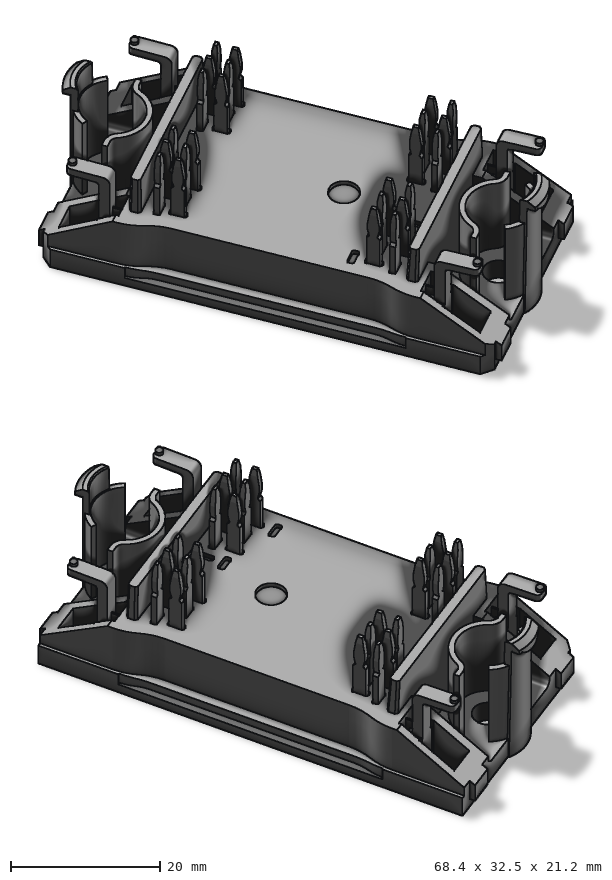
import cadquery as cq
import math


plate_length, plate_width, plate_height = 38.45, 27.1, 0.2
base_length, base_width = 64.15, 32.5
flange_top = 3.5
corner_chamfer = 1.5
half_base_length = base_length / 2
half_base_width = base_width / 2

body_top = 11.1
body_end_half_width = 15.7
body_mid_half_width = 14.35
body_bend_outer, body_bend_inner = 21.15, 13.95
slope_start_x = 21.9
slope_per_unit = 0.6

groove_bottom = 1.65
groove_rise = 0.6
groove_half_width = 15.7
groove_end_half_width = 16.1
groove_bend_outer, groove_bend_inner = 20.0, 15.4

screw_x = -27.35
screw_diameter = 4.3
seat_half_width = 8.8
seat_fillet = 1.1
body_end_x = 20.5
slot_outer_x = 21.55

window_y = 12.4
window_outer_x, window_inner_x = 29.95, 21.5
window_width = 4.3
window_pad_x, window_pad_thickness = 24.55, 0.15
tab_width, tab_depth = 3.6, 0.8
tab_bottom = 1.65

wall_top = 16.7
wall_bottom_thickness, wall_top_thickness = 1.65, 1.45
wall_bottom_length, wall_top_length = 26.1, 25.2
wall_corner = 0.35

clip_top = 20.8
clip_inner_radius, clip_outer_radius, lip_radius = 4.9, 5.8, 6.85
lip_bottom, lip_corner = 18.6, 20.0
lip_side_bottom, lip_arc_half_width = 19.35, 2.2
clip_edge_chamfer = 0.2
clip_top_half_width, clip_bottom_half_width = 2.8, 3.15
wing_inner_radius, wing_outer_radius = 4.7, 5.55
wing_angle = 61

guard_top = 15.6
guard_radius, guard_thickness = 4.85, 0.8
guard_angle = 65
guard_tail_radius, guard_tail_end_y = 1.6, 6.8

arm_top = 16.5
arm_tip_x = -29.35
arm_stem_outer_x, arm_stem_inner_x = -24.6, -23.05
arm_y = 12.3
arm_thickness, arm_width = 1.15, 2.4
arm_outer_bend, arm_inner_bend = 1.1, 0.55
arm_tip_fillet = 0.7
arm_tip_rise = 0.15
foot_width, foot_top, foot_inner_x = 2.75, 8.9, -22.15
bridge_top = 8.2
rib_thickness, rib_top = 0.3, 10.25
stud_x, stud_diameter = -28.8, 1.1
stud_cylinder_top, stud_top, stud_tip_diameter = 17.1, 17.7, 0.3

pin_top = 21.2
pin_thickness, pin_tip_thickness = 0.8, 0.5
pin_shoulder = 20.1
pin_shank_width, pin_shank_top = 1.9, 15.8
pin_neck_width, pin_neck_z = 1.15, 16.2
pin_bulge_width, pin_bulge_bottom, pin_bulge_top = 1.65, 17.3, 18.5
pin_tip_width = 0.75
slot_length, slot_width, slot_corner = 2.5, 1.0, 0.35
recess_depth = 0.7
recess_x, recess_diameter = 5.4, 4.3

left_outer, left_inner = -16.8, -14.1
right_inner, right_outer = 13.75, 16.7
pins_along_x = [
    (left_inner, 11.3), (left_outer, 8.55), (left_inner, 5.8),
    (left_inner, -5.8), (left_outer, -8.55), (left_inner, -11.3),
    (right_inner, 11.3), (right_outer, 8.35), (right_inner, 5.4),
    (right_inner, -5.4), (right_outer, -8.35), (right_inner, -11.3),
]
pins_along_y = [
    (left_outer, 11.3), (left_inner, 8.55), (left_outer, 5.8),
    (left_outer, -5.8), (left_inner, -8.55), (left_outer, -11.3),
    (right_outer, 11.3), (right_inner, 8.35), (right_outer, 5.4),
    (right_outer, -5.4), (right_inner, -8.35), (right_outer, -11.3),
]
empty_slots_along_x = [(right_outer, -2.45)]
empty_slots_along_y = [(right_inner, -2.45), (10.75, -11.3)]


def block(x_range, y_range, z_range):
    """Box given by its limits along each axis."""
    size = [high - low for low, high in (x_range, y_range, z_range)]
    corner = (x_range[0], y_range[0], z_range[0])
    return cq.Workplane("XY").box(*size, centered=False).translate(corner)


def slope_height(x):
    """Height of the sloped end faces at a distance x from the middle."""
    return body_top - slope_per_unit * (x - slope_start_x)


def polar(radius, degrees, center=(screw_x, 0)):
    """Point on a circle, by default around the screw hole."""
    angle = math.radians(degrees)
    return (center[0] + radius * math.cos(angle), center[1] + radius * math.sin(angle))


def side_recess(end_y, mid_y, outer_x, inner_x, bottom, top):
    """Cutter that draws in the +Y side from end_y to mid_y with S-bends at both ends."""
    bend_x = (outer_x + inner_x) / 2
    bend_y = (end_y + mid_y) / 2
    outside_y = base_width
    return (
        cq.Workplane("XY", origin=(0, 0, bottom))
        .moveTo(-outer_x, outside_y)
        .lineTo(-outer_x, end_y)
        .threePointArc(*bend_arc((-outer_x, end_y), (-bend_x, bend_y)))
        .tangentArcPoint((-inner_x, mid_y), relative=False)
        .lineTo(inner_x, mid_y)
        .tangentArcPoint((bend_x, bend_y), relative=False)
        .tangentArcPoint((outer_x, end_y), relative=False)
        .lineTo(outer_x, outside_y)
        .close()
        .extrude(top - bottom)
    )


def bend_arc(start, end):
    """Middle and end point of an arc that leaves start parallel to X and bends to -Y."""
    run = end[0] - start[0]
    drop = start[1] - end[1]
    radius = (run**2 + drop**2) / (2 * drop)
    half_angle = math.asin(run / radius) / 2
    middle = (start[0] + radius * math.sin(half_angle), start[1] - radius * (1 - math.cos(half_angle)))
    return middle, end


def both_sides(shape):
    """Shape joined with its mirror image across the XZ plane."""
    return shape.union(shape.mirror("XZ"))


def base_outline(bottom, top, width):
    """Plain block of the base length with the two -Y corners of the base cut off."""
    chamfer = corner_chamfer - (base_width - width) / 2
    return (
        cq.Workplane("XY", origin=(0, 0, bottom))
        .rect(base_length, width)
        .extrude(top - bottom)
        .edges("|Z and <Y")
        .chamfer(chamfer)
    )


def make_flange():
    flange = base_outline(plate_height, flange_top, base_width)
    groove = side_recess(
        groove_end_half_width, groove_half_width, groove_bend_outer, groove_bend_inner,
        groove_bottom, flange_top,
    )
    sloped_floor = (
        cq.Workplane("YZ", origin=(-groove_bend_outer, 0, 0))
        .moveTo(groove_half_width, groove_bottom)
        .lineTo(half_base_width, groove_bottom)
        .lineTo(groove_half_width, groove_bottom + groove_rise)
        .close()
        .extrude(2 * groove_bend_outer)
    )
    plate = block(
        (-plate_length / 2, plate_length / 2), (-plate_width / 2, plate_width / 2), (0, plate_height)
    )
    return flange.cut(both_sides(groove)).union(both_sides(sloped_floor)).union(plate)


def make_body():
    """Body with drawn-in long sides and sloped ends."""
    side_profile = (
        cq.Workplane("XZ", origin=(0, half_base_width, 0))
        .moveTo(-half_base_length, flange_top)
        .lineTo(half_base_length, flange_top)
        .lineTo(half_base_length, slope_height(half_base_length))
        .lineTo(slope_start_x, body_top)
        .lineTo(-slope_start_x, body_top)
        .lineTo(-half_base_length, slope_height(half_base_length))
        .close()
        .extrude(base_width)
    )
    recess = side_recess(
        body_end_half_width, body_mid_half_width, body_bend_outer, body_bend_inner,
        flange_top, body_top,
    )
    outline = base_outline(flange_top, body_top, 2 * body_end_half_width)
    return outline.intersect(side_profile).cut(both_sides(recess))


def make_end_cutter():
    """Material removed at the -X end: screw seat, slot behind it, screw hole and windows."""
    seat_y = (-seat_half_width, seat_half_width)
    seat = block((-base_length, -body_end_x), seat_y, (flange_top, clip_top))
    seat = seat.edges("|X and <Z").fillet(seat_fillet)
    slot = block((-slot_outer_x, -body_end_x), seat_y, (0, clip_top))
    hole = cq.Workplane("XY").center(screw_x, 0).circle(screw_diameter / 2).extrude(body_top)
    half_window = window_width / 2
    half_throat = half_window - window_pad_thickness
    window = block(
        (-window_outer_x, -window_pad_x),
        (window_y - half_window, window_y + half_window),
        (0, clip_top),
    )
    throat = block(
        (-window_pad_x, -window_inner_x),
        (window_y - half_throat, window_y + half_throat),
        (0, clip_top),
    )
    return seat.union(slot).union(hole).union(both_sides(window.union(throat)))


def make_tabs():
    """Tabs on the end face whose tops carry on the slope of the rails."""
    tip_x = half_base_length + tab_depth
    tab = (
        cq.Workplane("XZ", origin=(0, window_y + tab_width / 2, 0))
        .moveTo(-half_base_length, tab_bottom)
        .lineTo(-half_base_length, slope_height(half_base_length))
        .lineTo(-tip_x, slope_height(tip_x))
        .lineTo(-tip_x, tab_bottom)
        .close()
        .extrude(tab_width)
    )
    return both_sides(tab)


def wall_section(thickness, length):
    """Corner points of the wall in plan, its outer face flush with the end of the body."""
    outer_x = -body_end_x
    inner_x = outer_x + thickness
    end_y = length / 2
    side = [
        (outer_x, end_y - wall_corner),
        (outer_x + wall_corner, end_y),
        (inner_x - wall_corner, end_y),
        (inner_x, end_y - wall_corner),
    ]
    return side + [(x, -y) for x, y in reversed(side)]


def make_wall():
    """Upright wall that gets thinner and shorter toward its top."""
    return (
        cq.Workplane("XY", origin=(0, 0, body_top))
        .polyline(wall_section(wall_bottom_thickness, wall_bottom_length))
        .close()
        .workplane(offset=wall_top - body_top)
        .polyline(wall_section(wall_top_thickness, wall_top_length))
        .close()
        .loft(ruled=True)
    )


def make_clip():
    """Curved snap clip with an outward lip, turned around the screw hole."""
    shell = (
        cq.Workplane("XZ", origin=(screw_x, 0, 0))
        .moveTo(-clip_inner_radius, plate_height)
        .lineTo(-clip_outer_radius, plate_height)
        .lineTo(-clip_outer_radius, clip_top)
        .lineTo(-clip_inner_radius - clip_edge_chamfer, clip_top)
        .lineTo(-clip_inner_radius, clip_top - clip_edge_chamfer)
        .close()
        .revolve(360, (0, 0, 0), (0, 1, 0))
    )
    lip = (
        cq.Workplane("XZ", origin=(screw_x, 0, 0))
        .moveTo(-clip_outer_radius, lip_bottom)
        .lineTo(-lip_radius, lip_bottom)
        .lineTo(-lip_radius, lip_corner)
        .lineTo(-clip_outer_radius, clip_top)
        .close()
        .revolve(360, (0, 0, 0), (0, 1, 0))
    )
    lip_profile = (
        cq.Workplane("YZ", origin=(screw_x - lip_radius, 0, 0))
        .moveTo(clip_bottom_half_width, clip_top)
        .lineTo(clip_bottom_half_width, lip_side_bottom)
        .lineTo(lip_arc_half_width, lip_side_bottom)
        .threePointArc((0, lip_bottom), (-lip_arc_half_width, lip_side_bottom))
        .lineTo(-clip_bottom_half_width, lip_side_bottom)
        .lineTo(-clip_bottom_half_width, clip_top)
        .close()
        .extrude(lip_radius)
    )
    width_profile = (
        cq.Workplane("YZ", origin=(screw_x - lip_radius, 0, 0))
        .moveTo(-clip_bottom_half_width, plate_height)
        .lineTo(clip_bottom_half_width, plate_height)
        .lineTo(clip_top_half_width, clip_top)
        .lineTo(-clip_top_half_width, clip_top)
        .close()
        .extrude(lip_radius)
    )
    return shell.union(lip.intersect(lip_profile)).intersect(width_profile)


def make_wings():
    """Lower curved wall that continues the clip to both sides."""
    first = 180 - wing_angle
    last = 180 + wing_angle
    return (
        cq.Workplane("XY", origin=(0, 0, flange_top))
        .moveTo(*polar(wing_outer_radius, first))
        .threePointArc(polar(wing_outer_radius, 180), polar(wing_outer_radius, last))
        .lineTo(*polar(wing_inner_radius, last))
        .threePointArc(polar(wing_inner_radius, 180), polar(wing_inner_radius, first))
        .close()
        .extrude(wall_top - flange_top)
    )


def make_guard():
    """Wall around the inner side of the screw hole, its two tails bent outward."""
    inner = guard_radius - guard_thickness / 2
    outer = guard_radius + guard_thickness / 2
    tail_inner = guard_tail_radius - guard_thickness / 2
    tail_outer = guard_tail_radius + guard_thickness / 2
    top_center = polar(guard_radius + guard_tail_radius, guard_angle)
    low_center = polar(guard_radius + guard_tail_radius, -guard_angle)
    tail_middle = 180 + guard_angle / 2
    return (
        cq.Workplane("XY", origin=(0, 0, flange_top))
        .moveTo(*polar(outer, -guard_angle))
        .threePointArc(polar(outer, 0), polar(outer, guard_angle))
        .threePointArc(polar(tail_inner, tail_middle, top_center), polar(tail_inner, 180, top_center))
        .lineTo(top_center[0] - tail_inner, guard_tail_end_y)
        .lineTo(top_center[0] - tail_outer, guard_tail_end_y)
        .lineTo(*polar(tail_outer, 180, top_center))
        .threePointArc(polar(tail_outer, tail_middle, top_center), polar(inner, guard_angle))
        .threePointArc(polar(inner, 0), polar(inner, -guard_angle))
        .threePointArc(polar(tail_outer, -tail_middle, low_center), polar(tail_outer, 180, low_center))
        .lineTo(low_center[0] - tail_outer, -guard_tail_end_y)
        .lineTo(low_center[0] - tail_inner, -guard_tail_end_y)
        .lineTo(*polar(tail_inner, 180, low_center))
        .threePointArc(polar(tail_inner, -tail_middle, low_center), polar(outer, -guard_angle))
        .close()
        .extrude(guard_top - flange_top)
    )


def make_arms():
    """Bent arms with a small stud near the tip, joined to the body by a foot, a bridge and a rib."""
    arm = (
        cq.Workplane("XZ", origin=(0, arm_y + arm_width / 2, 0))
        .moveTo(arm_stem_inner_x, plate_height)
        .lineTo(arm_stem_inner_x, arm_top)
        .lineTo(arm_tip_x, arm_top + arm_tip_rise)
        .lineTo(arm_tip_x, arm_top + arm_tip_rise - arm_thickness)
        .lineTo(arm_stem_outer_x, arm_top - arm_thickness)
        .lineTo(arm_stem_outer_x, plate_height)
        .close()
        .extrude(arm_width)
    )
    arm = arm.edges("|Z and <X").fillet(arm_tip_fillet)
    bend_z = arm_top - arm_thickness
    outer_edge = cq.selectors.NearestToPointSelector((arm_stem_inner_x, arm_y, arm_top))
    inner_edge = cq.selectors.NearestToPointSelector((arm_stem_outer_x, arm_y, bend_z))
    arm = arm.edges("|Y").edges(outer_edge).fillet(arm_outer_bend)
    arm = arm.edges("|Y").edges(inner_edge).fillet(arm_inner_bend)

    foot_y = (arm_y - foot_width / 2, arm_y + foot_width / 2)
    rib_y = (arm_y - rib_thickness / 2, arm_y + rib_thickness / 2)
    foot = block((arm_stem_outer_x, foot_inner_x), foot_y, (plate_height, foot_top))
    bridge = block((foot_inner_x, -window_inner_x), foot_y, (plate_height, bridge_top))
    rib = block((arm_stem_inner_x, -window_inner_x), rib_y, (bridge_top, rib_top))
    stud = (
        cq.Workplane("XZ", origin=(stud_x, arm_y, 0))
        .moveTo(0, arm_top - arm_thickness / 2)
        .lineTo(stud_diameter / 2, arm_top - arm_thickness / 2)
        .lineTo(stud_diameter / 2, stud_cylinder_top)
        .lineTo(stud_tip_diameter / 2, stud_top)
        .lineTo(0, stud_top)
        .close()
        .revolve(360, (0, 0, 0), (0, 1, 0))
    )
    return both_sides(arm.union(foot).union(bridge).union(rib).union(stud))


def symmetric_extrusion(widths_and_heights, depth):
    """Upright profile, mirrored about the Z axis, extruded evenly to both sides along Y."""
    right = [(width / 2, z) for width, z in widths_and_heights]
    left = [(-x, z) for x, z in reversed(right)]
    return cq.Workplane("XZ").polyline(right + left).close().extrude(depth / 2, both=True)


def make_pin():
    """Pin standing on the Z axis, its broad side along X."""
    pin_bottom = body_top - recess_depth
    broad = symmetric_extrusion(
        [
            (pin_shank_width, pin_bottom),
            (pin_shank_width, pin_shank_top),
            (pin_neck_width, pin_neck_z),
            (pin_bulge_width, pin_bulge_bottom),
            (pin_bulge_width, pin_bulge_top),
            (pin_neck_width, pin_shoulder),
            (pin_tip_width, pin_top),
        ],
        pin_thickness,
    )
    narrow = symmetric_extrusion(
        [
            (pin_thickness, pin_bottom),
            (pin_thickness, pin_shoulder),
            (pin_tip_thickness, pin_top),
        ],
        pin_shank_width,
    )
    return broad.intersect(narrow.rotate((0, 0, 0), (0, 0, 1), 90))


def make_slot():
    """Cutter for a rounded pin slot on the Z axis, its long side along X."""
    return (
        cq.Workplane("XY", origin=(0, 0, body_top - recess_depth))
        .rect(slot_length, slot_width)
        .extrude(recess_depth)
        .edges("|Z")
        .fillet(slot_corner)
    )


def place(shape, along_x, along_y):
    """Copies of a shape at all given places, turned a quarter for the second list."""
    turned = shape.rotate((0, 0, 0), (0, 0, 1), 90)
    copies = [shape.translate((x, y, 0)).val() for x, y in along_x]
    copies += [turned.translate((x, y, 0)).val() for x, y in along_y]
    return cq.Workplane("XY").newObject([cq.Compound.makeCompound(copies)])


end_cutter = make_end_cutter()
end_features = make_clip().union(make_wings())
for feature in (make_guard(), make_wall(), make_tabs(), make_arms()):
    end_features = end_features.union(feature)

result = make_flange().union(make_body())
result = result.cut(end_cutter).cut(end_cutter.mirror("YZ"))
result = result.union(end_features).union(end_features.mirror("YZ"))

round_recess = (
    cq.Workplane("XY", origin=(recess_x, 0, body_top - recess_depth))
    .circle(recess_diameter / 2)
    .extrude(recess_depth)
)
slots = place(make_slot(), pins_along_x + empty_slots_along_x, pins_along_y + empty_slots_along_y)
result = result.cut(round_recess).cut(slots)
result = result.union(place(make_pin(), pins_along_x, pins_along_y))